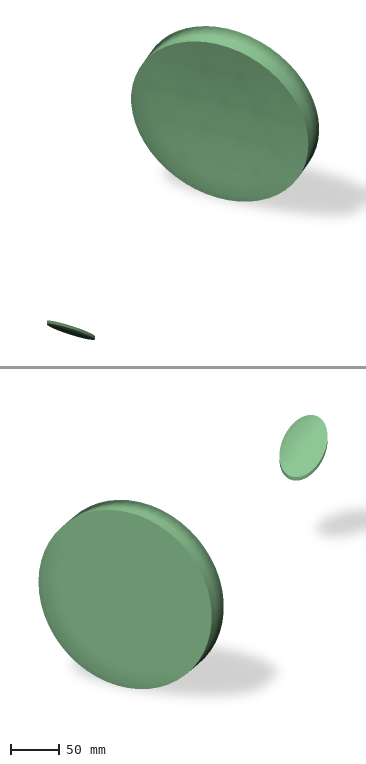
import cadquery as cq
import math

overall_length = 445.0
primary_diameter = 200.0
primary_edge_thickness = 28.5
bowl_depth = 8.5
diagonal_diameter = 50.0
diagonal_height = 4.0
diagonal_tilt = 45.0

primary_radius = primary_diameter / 2
diagonal_radius = diagonal_diameter / 2
primary_back_y = overall_length - diagonal_radius
primary_rim_y = primary_back_y - primary_edge_thickness


def make_primary_mirror():
    """Round disc with a shallow spherical bowl in its -Y face, facing the diagonal."""
    disc = (
        cq.Workplane("XZ", origin=(0, primary_back_y, 0))
        .circle(primary_radius)
        .extrude(primary_edge_thickness)
    )
    bowl_radius = (primary_radius**2 + bowl_depth**2) / (2 * bowl_depth)
    bowl_centre_y = primary_rim_y + bowl_depth - bowl_radius
    bowl = cq.Workplane("XY").sphere(bowl_radius).translate((0, bowl_centre_y, 0))
    return disc.cut(bowl)


def make_diagonal_mirror():
    """Slice of an upright cylinder between two parallel tilted planes, highest at -Y."""
    rise = diagonal_radius * math.tan(math.radians(diagonal_tilt))
    side_profile = [
        (-diagonal_radius, rise),
        (diagonal_radius, -rise),
        (diagonal_radius, -rise + diagonal_height),
        (-diagonal_radius, rise + diagonal_height),
    ]
    tilted_slab = cq.Workplane("YZ").polyline(side_profile).close().extrude(diagonal_radius, both=True)
    cylinder_height = 2 * rise + diagonal_height
    cylinder = cq.Workplane("XY").workplane(offset=-rise).circle(diagonal_radius).extrude(cylinder_height)
    return cylinder.intersect(tilted_slab)


primary_mirror = make_primary_mirror()
diagonal_mirror = make_diagonal_mirror()

result = cq.Compound.makeCompound([*primary_mirror.solids().vals(), *diagonal_mirror.solids().vals()])